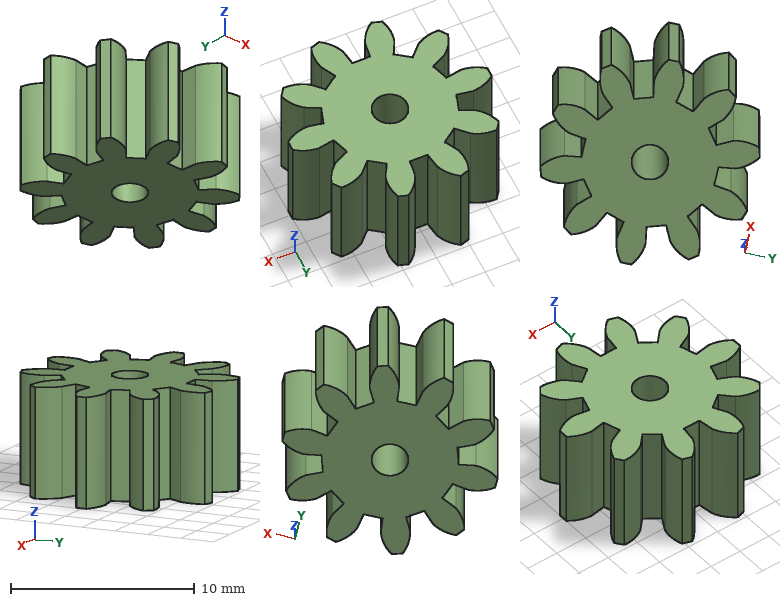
import cadquery as cq
import math

TOOTH_COUNT = 10
WIDTH_ACROSS_TIPS = 11.99
FACE_WIDTH = 6.25
BORE_DIAMETER = 2.0
PRESSURE_ANGLE = math.radians(20)
ADDENDUM_FACTOR = 1.0
DEDENDUM_FACTOR = 1.25


def involute_angle(pressure_angle):
    """Polar angle swept by an involute up to the given pressure angle."""
    return math.tan(pressure_angle) - pressure_angle


TIP_RATIO = 1 + 2 * ADDENDUM_FACTOR / TOOTH_COUNT
ROOT_RATIO = 1 - 2 * DEDENDUM_FACTOR / TOOTH_COUNT
BASE_RATIO = math.cos(PRESSURE_ANGLE)

BASE_HALF_ANGLE = math.pi / (2 * TOOTH_COUNT) + involute_angle(PRESSURE_ANGLE)
TIP_HALF_ANGLE = BASE_HALF_ANGLE - involute_angle(math.acos(BASE_RATIO / TIP_RATIO))

TIP_RADIUS = WIDTH_ACROSS_TIPS / 2 / math.cos(TIP_HALF_ANGLE)
PITCH_RADIUS = TIP_RADIUS / TIP_RATIO
BASE_RADIUS = PITCH_RADIUS * BASE_RATIO
ROOT_RADIUS = PITCH_RADIUS * ROOT_RATIO


def polar(radius, angle):
    return (radius * math.cos(angle), radius * math.sin(angle))


def flank(tooth_angle, side):
    """Base, middle and tip points of an involute; side is -1 or +1 about the tooth axis."""
    points = []
    for radius in (BASE_RADIUS, (BASE_RADIUS + TIP_RADIUS) / 2, TIP_RADIUS):
        half_angle = BASE_HALF_ANGLE - involute_angle(math.acos(BASE_RADIUS / radius))
        points.append(polar(radius, tooth_angle + side * half_angle))
    return points


def gear_outline():
    """Teeth with radial feet, arcs that follow involute flanks, flat tips and flat roots."""
    tooth_spacing = 2 * math.pi / TOOTH_COUNT
    outline = cq.Workplane("XY").moveTo(*polar(ROOT_RADIUS, -BASE_HALF_ANGLE))
    for tooth in range(TOOTH_COUNT):
        tooth_angle = tooth * tooth_spacing
        rising = flank(tooth_angle, -1)
        falling = flank(tooth_angle, 1)[::-1]
        outline = outline.lineTo(*rising[0]).threePointArc(*rising[1:])
        outline = outline.lineTo(*falling[0]).threePointArc(*falling[1:])
        outline = outline.lineTo(*polar(ROOT_RADIUS, tooth_angle + BASE_HALF_ANGLE))
        if tooth < TOOTH_COUNT - 1:
            next_foot_angle = tooth_angle + tooth_spacing - BASE_HALF_ANGLE
            outline = outline.lineTo(*polar(ROOT_RADIUS, next_foot_angle))
    return outline.close()


gear = gear_outline().extrude(FACE_WIDTH)
bore = cq.Workplane("XY").circle(BORE_DIAMETER / 2).extrude(FACE_WIDTH)

result = gear.cut(bore)